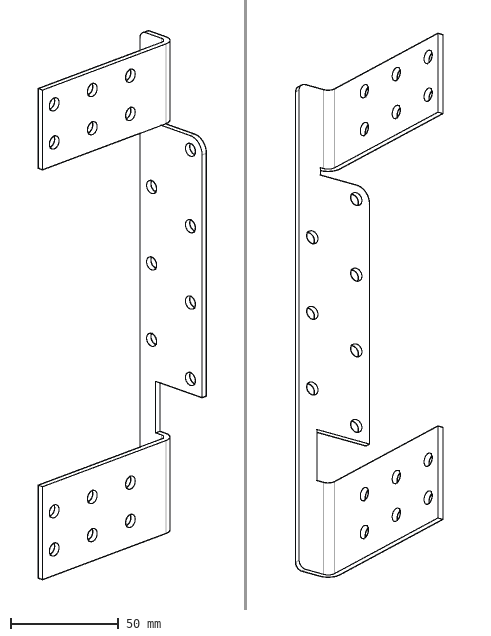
import cadquery as cq

width = 40.3
depth = 89.0
height = 244.5
sheet = 3.0

bend_inner_radius = 3.7
bend_outer_radius = bend_inner_radius + sheet
flange_right = 20.5
bend_start = flange_right - bend_outer_radius
upper_flange_bottom = 204.5
lower_flange_top = 46.5

wide_top = 201.0
wide_bottom = 72.0
upper_notch_left = 12.2
lower_notch_left = 10.3
plate_corner_radius = 7.5
left_corner_radius = 3.7

hole_diameter = 6.4
plate_hole_pitch = 38.1
right_hole_x = 32.8
right_hole_count = 4
lowest_right_hole_z = 79.5
left_hole_x = 7.5
left_hole_count = 3
lowest_left_hole_z = lowest_right_hole_z + plate_hole_pitch / 3
flange_hole_columns = 3
flange_hole_pitch_y = 25.5
flange_hole_pitch_z = 19.0
flange_hole_front_y = 7.8
upper_hole_row_z = 216.0
lower_hole_row_z = 13.0


def make_back_plate():
    """Flat plate with two notches on its right side, ending where the bends start."""
    outline = [
        (0, 0),
        (bend_start, 0),
        (bend_start, lower_flange_top),
        (lower_notch_left, lower_flange_top),
        (lower_notch_left, wide_bottom),
        (width, wide_bottom),
        (width, wide_top),
        (upper_notch_left, wide_top),
        (upper_notch_left, upper_flange_bottom),
        (bend_start, upper_flange_bottom),
        (bend_start, height),
        (0, height),
    ]
    plate = (
        cq.Workplane("XZ", origin=(0, depth, 0))
        .polyline(outline)
        .close()
        .extrude(sheet)
    )
    plate = plate.edges("|Y and <X").fillet(left_corner_radius)
    wide_corner = cq.selectors.NearestToPointSelector((width, depth - sheet / 2, wide_top))
    return plate.edges("|Y").edges(wide_corner).fillet(plate_corner_radius)


def make_flange(bottom, top):
    """Quarter-round bend followed by a straight flange running towards -Y."""
    flange_left = flange_right - sheet
    bend_end = depth - bend_outer_radius
    diagonal = 0.5 ** 0.5
    outer_middle = (
        bend_start + bend_outer_radius * diagonal,
        bend_end + bend_outer_radius * diagonal,
    )
    inner_middle = (
        bend_start + bend_inner_radius * diagonal,
        bend_end + bend_inner_radius * diagonal,
    )
    return (
        cq.Workplane("XY", origin=(0, 0, bottom))
        .moveTo(bend_start, depth)
        .threePointArc(outer_middle, (flange_right, bend_end))
        .lineTo(flange_right, 0)
        .lineTo(flange_left, 0)
        .lineTo(flange_left, bend_end)
        .threePointArc(inner_middle, (bend_start, depth - sheet))
        .close()
        .extrude(top - bottom)
    )


def plate_hole_column(x, lowest_z, count):
    """Cutters for a vertical column of holes through the back plate."""
    centers = [(x, lowest_z + i * plate_hole_pitch) for i in range(count)]
    return (
        cq.Workplane("XZ", origin=(0, depth, 0))
        .pushPoints(centers)
        .circle(hole_diameter / 2)
        .extrude(sheet)
    )


def flange_hole_grid(lower_row_z):
    """Cutters for two rows of holes through a flange."""
    centers = [
        (flange_hole_front_y + column * flange_hole_pitch_y, lower_row_z + row * flange_hole_pitch_z)
        for column in range(flange_hole_columns)
        for row in range(2)
    ]
    return (
        cq.Workplane("YZ")
        .pushPoints(centers)
        .circle(hole_diameter / 2)
        .extrude(width)
    )


result = (
    make_back_plate()
    .union(make_flange(0, lower_flange_top))
    .union(make_flange(upper_flange_bottom, height))
    .cut(plate_hole_column(right_hole_x, lowest_right_hole_z, right_hole_count))
    .cut(plate_hole_column(left_hole_x, lowest_left_hole_z, left_hole_count))
    .cut(flange_hole_grid(lower_hole_row_z))
    .cut(flange_hole_grid(upper_hole_row_z))
)